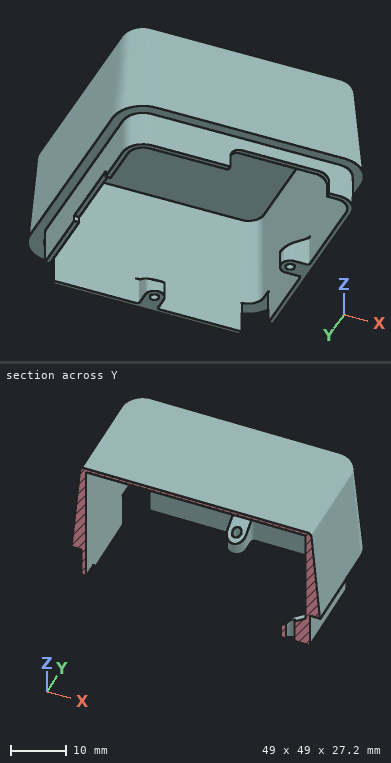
import cadquery as cq
import math

cap_width = 49.0
total_height = 27.2
skirt_height = 7.2
cap_height = total_height - skirt_height

cap_corner_radius = 6.0
draft_angle = 5.0
top_fillet = 1.0

skirt_width = 45.0
skirt_corner_radius = 4.0
wall = 1.0
ceiling = 1.0
skirt_half = skirt_width / 2
inner_half = skirt_half - wall

front_notch_left = -3.0
front_notch_right = 16.45
front_notch_height = 4.45
front_notch_left_radius = 2.3
front_notch_right_radius = 2.0
side_notch_back = 3.35
side_notch_front = -10.8
side_notch_height = 1.2
back_wall_rise = 0.6
corner_opening_start = 16.55

post_diameter = 3.68
post_hole_diameter = 1.65
post_root_fillet = 0.5
post_reach = 16.75
post_center = post_reach + post_diameter / 2
post_slope = 34.0
post_tip_height = 3.05


def rounded_block(width, corner_radius, bottom, height):
    """Square block with rounded upright corners."""
    return (
        cq.Workplane("XY").workplane(offset=bottom)
        .rect(width, width).extrude(height)
        .edges("|Z").fillet(corner_radius)
    )


def box_between(low, high):
    """Box given by its two opposite corners."""
    size = [b - a for a, b in zip(low, high)]
    return cq.Workplane("XY").box(*size, centered=False).translate(low)


def make_cap():
    """Cap whose sides and corner radii shrink towards the rounded top edge."""
    outline = (
        cq.Sketch().rect(cap_width, cap_width)
        .vertices().fillet(cap_corner_radius)
    )
    return (
        cq.Workplane("XY").workplane(offset=skirt_height)
        .placeSketch(outline).extrude(cap_height, taper=draft_angle)
        .faces(">Z").edges().fillet(top_fillet)
    )


def make_front_notch():
    """Cutter for the wide front opening with two rounded upper corners."""
    low = (front_notch_left, -skirt_half, 0)
    high = (front_notch_right, -inner_half, front_notch_height)
    return (
        box_between(low, high)
        .edges("|Y and >Z and <X").fillet(front_notch_left_radius)
        .edges("|Y and >Z and >X").fillet(front_notch_right_radius)
    )


def make_post(bottom):
    """Screw post rounded into the +Y wall, with a top sloping up towards that wall."""
    radius = post_diameter / 2
    root_half = radius + post_root_fillet
    root_start = inner_half - post_root_fillet
    embedded = inner_half + wall / 2
    arc_offset = post_root_fillet * (1 - math.sqrt(0.5))
    post = (
        cq.Workplane("XY")
        .moveTo(-radius, post_center)
        .threePointArc((0, post_reach), (radius, post_center))
        .lineTo(radius, root_start)
        .threePointArc((radius + arc_offset, inner_half - arc_offset), (root_half, inner_half))
        .lineTo(root_half, embedded)
        .lineTo(-root_half, embedded)
        .lineTo(-root_half, inner_half)
        .threePointArc((-radius - arc_offset, inner_half - arc_offset), (-radius, root_start))
        .close().extrude(skirt_height)
    )
    wall_height = post_tip_height + (skirt_half - post_reach) * math.tan(math.radians(post_slope))
    profile = (
        cq.Workplane("YZ")
        .polyline([
            (post_reach, bottom),
            (skirt_half, bottom),
            (skirt_half, wall_height),
            (post_reach, post_tip_height),
        ])
        .close().extrude(root_half, both=True)
    )
    hole = cq.Workplane("XY").center(0, post_center).circle(post_hole_diameter / 2).extrude(skirt_height)
    return post.intersect(profile).cut(hole)


body = make_cap().union(rounded_block(skirt_width, skirt_corner_radius, 0, skirt_height + ceiling))
cavity_height = total_height - ceiling
body = body.cut(rounded_block(2 * inner_half, skirt_corner_radius - wall, 0, cavity_height))

body = body.cut(make_front_notch())
side_notch_low = (-skirt_half, side_notch_front, 0)
side_notch_high = (-inner_half, side_notch_back, side_notch_height)
body = body.cut(box_between(side_notch_low, side_notch_high))

flat_half = skirt_half - skirt_corner_radius
for low_x, high_x in ((-skirt_half, -flat_half), (flat_half, skirt_half)):
    low = (low_x, corner_opening_start, 0)
    high = (high_x, skirt_half, skirt_height)
    body = body.cut(box_between(low, high))

body = body.cut(box_between((-flat_half, inner_half, 0), (flat_half, skirt_half, back_wall_rise)))

body = body.union(make_post(back_wall_rise))
result = body.union(make_post(0).rotate((0, 0, 0), (0, 0, 1), -90))